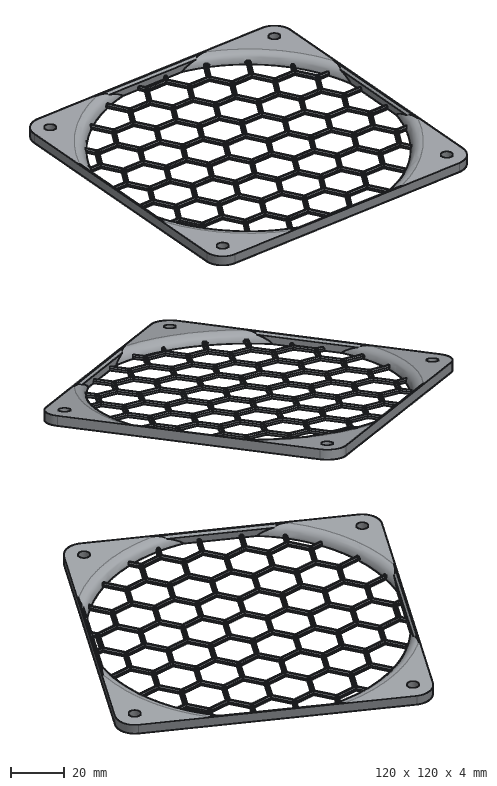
import cadquery as cq
import math

side = 120.0
thickness = 4.0
corner_radius = 7.5
hole_spacing = 105.0
hole_diameter = 4.5

lip_outer_radius = 64.8
lip_radius = 4.75
opening_width = 117.0
wall_chamfer = 1.0

cell_pitch = 16.0
rib_width = 1.5
rib_height = 1.5
rib_top_width = 0.5
rib_straight_height = 0.9


def frame_blank():
    """Rounded square plate with a screw hole in each corner."""
    plate = cq.Workplane("XY").rect(side, side).extrude(thickness)
    plate = plate.edges("|Z").fillet(corner_radius)
    screw_holes = (
        cq.Workplane("XY")
        .rect(hole_spacing, hole_spacing, forConstruction=True)
        .vertices()
        .circle(hole_diameter / 2)
        .extrude(thickness)
    )
    return plate.cut(screw_holes)


def round_throat():
    """Round void that flares out through a convex arc, level with the top face at its outer end."""
    arc_center_z = thickness - lip_radius
    throat_radius = lip_outer_radius - math.sqrt(lip_radius**2 - arc_center_z**2)
    middle_angle = (math.asin(-arc_center_z / lip_radius) + math.radians(90)) / 2
    lip_middle = (
        lip_outer_radius - lip_radius * math.cos(middle_angle),
        arc_center_z + lip_radius * math.sin(middle_angle),
    )
    return (
        cq.Workplane("XZ")
        .lineTo(throat_radius, 0)
        .threePointArc(lip_middle, (lip_outer_radius, thickness))
        .lineTo(0, thickness)
        .close()
        .revolve(360, (0, 0, 0), (0, 1, 0))
    )


def square_throat():
    """Square void that widens through a chamfer at the top."""
    flare_start = thickness - wall_chamfer
    top_width = opening_width + 2 * wall_chamfer
    straight = cq.Workplane("XY").rect(opening_width, opening_width).extrude(flare_start)
    flare = (
        cq.Workplane("XY", origin=(0, 0, flare_start))
        .rect(opening_width, opening_width)
        .workplane(offset=wall_chamfer)
        .rect(top_width, top_width)
        .loft(ruled=True)
    )
    return straight.union(flare)


def honeycomb():
    """Hexagonal mesh with one cell centred on the part, reaching into the frame."""
    row_pitch = cell_pitch * math.sqrt(3) / 2
    cell_diameter = (cell_pitch - rib_width) * 2 / math.sqrt(3)
    reach = lip_outer_radius + cell_pitch
    rows = math.ceil(reach / row_pitch)
    columns = math.ceil(reach / cell_pitch)
    centers = []
    for row in range(-rows, rows + 1):
        shift = cell_pitch / 2 * (row % 2)
        for column in range(-columns, columns + 1):
            x = column * cell_pitch + shift
            y = row * row_pitch
            if math.hypot(x, y) < reach:
                centers.append((y, -x))
    turned = cq.Workplane(cq.Plane((0, 0, 0), xDir=(0, 1, 0), normal=(0, 0, 1)))
    cells = turned.pushPoints(centers).polygon(6, cell_diameter).extrude(rib_height)
    flare_height = rib_height - rib_straight_height
    flare_angle = math.degrees(math.atan2((rib_width - rib_top_width) / 2, flare_height))
    flares = (
        turned.workplane(offset=rib_straight_height)
        .pushPoints(centers)
        .polygon(6, cell_diameter)
        .extrude(flare_height, taper=-flare_angle)
    )
    anchor_radius = lip_outer_radius - lip_radius / 2
    anchor_width = (opening_width + side) / 2
    sheet = cq.Workplane("XY").rect(anchor_width, anchor_width).extrude(rib_height)
    disc = cq.Workplane("XY").circle(anchor_radius).extrude(rib_height)
    return sheet.intersect(disc).cut(cells).cut(flares)


opening = round_throat().intersect(square_throat())
result = frame_blank().cut(opening).union(honeycomb())